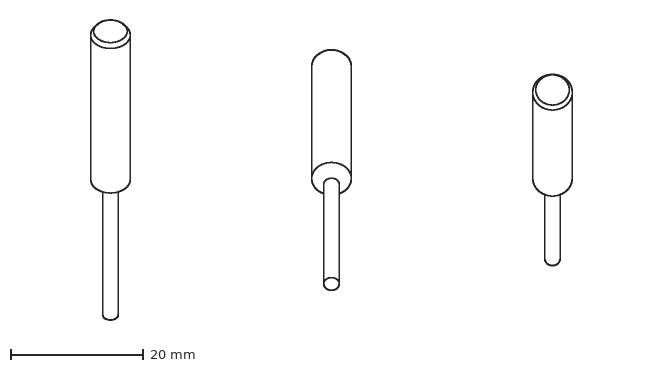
import cadquery as cq
import math

TOTAL_LENGTH = 59.0

SHANK_RADIUS = 3.0
TOP_CHAMFER_HEIGHT = 0.75
TOP_CHAMFER_WIDTH = 0.5
SHANK_LENGTH = 30.5
NECK_HEIGHT = 1.55

CUTTER_RADIUS = 1.2
POINT_ANGLE = 120.0

neck_top_z = TOTAL_LENGTH - SHANK_LENGTH
neck_bottom_z = neck_top_z - NECK_HEIGHT
tip_height = CUTTER_RADIUS / math.tan(math.radians(POINT_ANGLE / 2))


def revolve_profile(points):
    """Revolve a closed outline of (radius, z) points around the Z axis."""
    return cq.Workplane("XZ").polyline(points).close().revolve(360, (0, 0), (0, 1))


def make_shank():
    """Chamfered cylinder that tapers down to the cutter diameter."""
    return revolve_profile([
        (0, neck_bottom_z),
        (CUTTER_RADIUS, neck_bottom_z),
        (SHANK_RADIUS, neck_top_z),
        (SHANK_RADIUS, TOTAL_LENGTH - TOP_CHAMFER_HEIGHT),
        (SHANK_RADIUS - TOP_CHAMFER_WIDTH, TOTAL_LENGTH),
        (0, TOTAL_LENGTH),
    ])


def make_cutter():
    """Slim cylinder with a conical point, ending flush against the neck."""
    return revolve_profile([
        (0, 0),
        (CUTTER_RADIUS, tip_height),
        (CUTTER_RADIUS, neck_bottom_z),
        (0, neck_bottom_z),
    ])


shank = make_shank()
cutter = make_cutter()

result = cq.Compound.makeCompound([shank.val(), cutter.val()])